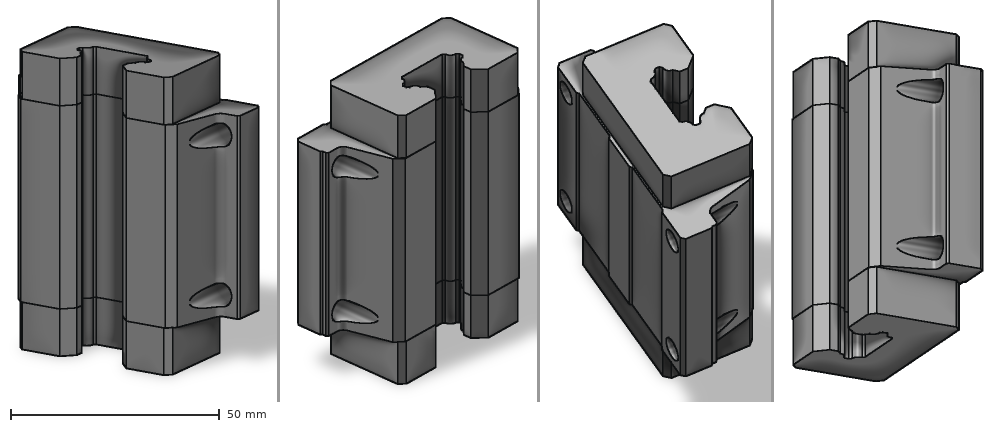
import cadquery as cq
import math


total_length = 74.5
block_length = 50.8
cap_length = (total_length - block_length) / 2
block_width = 63.0
block_height = 25.4
half_width = block_width / 2

flange_thickness = 10.0
flange_underside = block_height - flange_thickness
flange_top_chamfer = 1.0
flange_bottom_chamfer = 0.5
reference_step_depth = 0.45
reference_edge_height = 8.05

skirt_bottom_half_width = 20.4
skirt_bevel = 2.1
flank_angle = 15.0
flank_fillet_radius = 2.0
skirt_half_width = skirt_bottom_half_width + skirt_bevel
flank_height = flange_underside - skirt_bevel
flank_top_half_width = skirt_half_width + flank_height * math.tan(math.radians(flank_angle))

relief_depth = 0.5
relief_inner_x = 5.65
relief_outer_x = 20.85

hole_diameter = 5.95
hole_spacing_x = 53.0
hole_spacing_z = 40.0

cap_width = 43.0
cap_height = 24.35
cap_chamfer = 1.5

channel_mouth_half_width = 9.4
channel_mouth_bevel_height = 3.0
channel_lip_half_width = 6.5
channel_half_width = 7.75
channel_height = 12.9
groove_half_width = 10.1
groove_center_height = 9.45
groove_half_opening = 1.1
groove_chamfer = 0.6
groove_edge_radius = groove_half_width - groove_chamfer - channel_half_width


def channel_cutter(length):
    """Rail channel: two mirrored halves, each with a round-edged side groove."""
    groove_bottom = groove_center_height - groove_half_opening
    groove_top = groove_center_height + groove_half_opening
    lower_edge_start = groove_bottom - groove_edge_radius
    upper_edge_end = groove_top + groove_edge_radius
    roof_chamfer = channel_height - upper_edge_end
    lip_top_height = lower_edge_start - (channel_half_width - channel_lip_half_width)
    groove_shoulder = groove_half_width - groove_chamfer
    half = (
        cq.Workplane("XY")
        .moveTo(0, 0)
        .lineTo(channel_mouth_half_width, 0)
        .lineTo(channel_lip_half_width, channel_mouth_bevel_height)
        .lineTo(channel_lip_half_width, lip_top_height)
        .lineTo(channel_half_width, lower_edge_start)
        .radiusArc((groove_shoulder, groove_bottom), groove_edge_radius)
        .lineTo(groove_half_width, groove_bottom + groove_chamfer)
        .lineTo(groove_half_width, groove_top - groove_chamfer)
        .lineTo(groove_shoulder, groove_top)
        .radiusArc((channel_half_width, upper_edge_end), groove_edge_radius)
        .lineTo(channel_half_width - roof_chamfer, channel_height)
        .lineTo(0, channel_height)
        .close()
        .extrude(length / 2, both=True)
    )
    return half.union(half.mirror("YZ"))


def block_blank():
    """Flanged cross-section with the flank fillets, before any cuts."""
    right_side = [
        (skirt_bottom_half_width, 0),
        (skirt_half_width, skirt_bevel),
        (flank_top_half_width, flange_underside),
        (half_width - flange_bottom_chamfer, flange_underside),
        (half_width, flange_underside + flange_bottom_chamfer),
        (half_width, block_height - flange_top_chamfer),
        (half_width - flange_top_chamfer, block_height),
    ]
    step_x = half_width - reference_step_depth
    step_y = block_height - reference_edge_height
    left_side = [
        (-half_width + flange_top_chamfer, block_height),
        (-half_width, block_height - flange_top_chamfer),
        (-half_width, step_y),
        (-step_x, step_y - reference_step_depth),
        (-step_x, flange_underside + flange_bottom_chamfer),
        (-step_x + flange_bottom_chamfer, flange_underside),
        (-flank_top_half_width, flange_underside),
        (-skirt_half_width, skirt_bevel),
        (-skirt_bottom_half_width, 0),
    ]
    blank = (
        cq.Workplane("XY")
        .polyline(right_side + left_side)
        .close()
        .extrude(block_length / 2, both=True)
    )
    for side in (-1, 1):
        flank_corner = (side * flank_top_half_width, flange_underside, 0)
        corner_edge = cq.selectors.NearestToPointSelector(flank_corner)
        blank = blank.edges("|Z").edges(corner_edge).fillet(flank_fillet_radius)
    return blank


def relief_cutter():
    """Both mounting-face reliefs, with 45 degree side walls."""
    relief_floor = block_height - relief_depth
    relief = (
        cq.Workplane("XY")
        .polyline([
            (relief_inner_x, relief_floor),
            (relief_outer_x, relief_floor),
            (relief_outer_x + relief_depth, block_height),
            (relief_inner_x - relief_depth, block_height),
        ])
        .close()
        .extrude(block_length / 2, both=True)
    )
    return relief.union(relief.mirror("YZ"))


def mounting_hole_cutter():
    """Four holes along Y that also scallop the flanks below the flanges."""
    return (
        cq.Workplane("XZ")
        .rarray(hole_spacing_x, hole_spacing_z, 2, 2)
        .circle(hole_diameter / 2)
        .extrude(-block_height)
    )


def make_block():
    return (
        block_blank()
        .cut(relief_cutter())
        .cut(mounting_hole_cutter())
        .cut(channel_cutter(block_length))
    )


def make_end_cap(center_z):
    cap = (
        cq.Workplane("XY")
        .box(cap_width, cap_height, cap_length)
        .translate((0, cap_height / 2, 0))
        .edges("|Z").chamfer(cap_chamfer)
        .cut(channel_cutter(cap_length))
    )
    return cap.translate((0, 0, center_z))


block = make_block()

cap_center_z = (block_length + cap_length) / 2
end_caps = []
for end in (-1, 1):
    end_caps.append(make_end_cap(end * cap_center_z).val())

result = cq.Compound.makeCompound([block.val(), *end_caps])